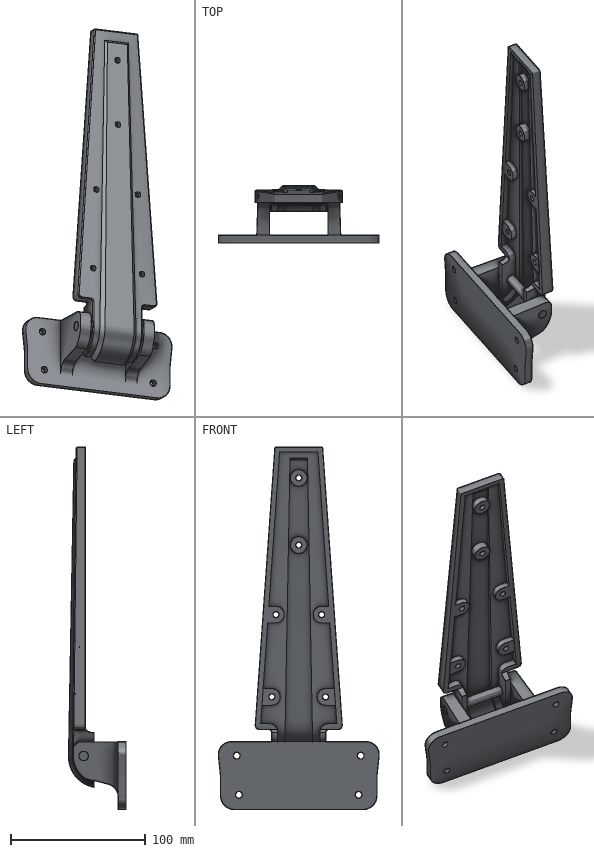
import cadquery as cq
import math


TOTAL_HEIGHT = 270.0
TOTAL_DEPTH = 43.0
SIDE_REACH = 81.0
SELECT_MARGIN = 0.3

PLATE_THICKNESS = 6.0
PLATE_TOP = 50.8
PLATE_TOP_HALF = 61.0
PLATE_BOTTOM_HALF = 58.3
PLATE_KINK_Z = 25.0
PLATE_TOP_RADIUS = 10.0
PLATE_BOTTOM_RADIUS = 10.5
PLATE_HOLE_DIAMETER = 4.9
PLATE_HOLES = [(46.2, 40.2), (44.5, 11.0)]

PIN_Y = 31.5
PIN_Z = 40.0
PIN_RADIUS = 3.5
CURL_Y = 19.5
CURL_Z = 39.7
CURL_END_Y = 23.8

ARM_TOP = 50.5
ARM_INNER_HALF = 21.5
ARM_ROOT_HALF = 31.3
ARM_TIP_HALF = 30.2
ARM_BACK_RADIUS = 20.0
ARM_BACK_CORNER = (31.3, 23.5)
ARM_UNDERSIDE = (13.0, 19.0)
ARM_SWEEP_MIDDLE = (8.0, 15.7)
ARM_FOOT_Z = 9.7
ARM_TOP_RADIUS = 6.0

STRAP_FRONT_Y = 30.2
STRAP_BACK_TOP_Y = 37.3
STRAP_BACK_BOTTOM_Y = 40.0
STRAP_TOP_HALF = 17.8
STRAP_BOTTOM_HALF = 32.7
STRAP_BOTTOM = 59.7
STRAP_TOP_RADIUS = 1.0
STRAP_BOTTOM_RADIUS = 3.2
STRAP_BACK_CHAMFER = 0.8
NECK_HALF = 20.2
NECK_RADIUS = 2.2
CHEEK_TOP = 57.5
CHEEK_SWEEP_MIDDLE = (27.8, 58.0)

FLOOR_THICKNESS = 4.3
POCKET_TOP = 266.2
POCKET_TOP_HALF = 14.3
POCKET_BOTTOM = 64.0
POCKET_BOTTOM_HALF = 28.4
CHEEK_THICKNESS = 4.3
CHEEK_INNER_HALF = NECK_HALF - CHEEK_THICKNESS
POCKET_MOUTH_RADIUS = 5.7

RIB_TOP = 262.7
RIB_END_Z = 260.3
RIB_BACK_TOP_Y = 39.0
RIB_TOP_HALF = 8.0
RIB_BOTTOM_HALF = 12.0
RIB_DEPTH = 4.3
RIB_SKIN = 4.0
CHANNEL_TOP_HALF = 6.5
CHANNEL_BOTTOM_HALF = 10.5
CHANNEL_DEPTH = 8.0

BOSS_RADIUS = 6.2
BOSS_HOLE_DIAMETER = 4.3
CENTRE_BOSS_HEIGHTS = [247.0, 197.0]
SIDE_BOSSES = [(17.0, 145.3, 0.0), (20.0, 84.0, 0.5)]

WASHER_RADIUS = 7.8


def mirrored(points):
    """Complete a half outline (x >= 0, listed top to bottom) with its mirror image."""
    return points + [(-x, z) for x, z in reversed(points)]


def front_prism(points, y_from, y_to):
    """Extrude an X-Z outline from y_from to y_to."""
    sketch = cq.Workplane("XZ", origin=(0, y_from, 0)).polyline(points).close()
    return sketch.extrude(y_from - y_to)


def front_cylinder(x, z, radius, y_from, y_to):
    """Cylinder along Y."""
    return cq.Workplane("XZ", origin=(x, y_from, z)).circle(radius).extrude(y_from - y_to)


def cross_cylinder(radius, x_from, x_to):
    """Cylinder on the hinge axis."""
    return cq.Workplane("YZ", origin=(x_from, PIN_Y, PIN_Z)).circle(radius).extrude(x_to - x_from)


def curl_point(radius, degrees):
    """Point (Y, Z) on the curl, measured from straight back and turning down."""
    angle = math.radians(degrees)
    return (CURL_Y + radius * math.cos(angle), CURL_Z - radius * math.sin(angle))


def at_height(z, half_width):
    """Selector for edges centred near a height, no farther out than half_width."""
    return cq.selectors.BoxSelector(
        (-half_width - SELECT_MARGIN, 0, z - SELECT_MARGIN),
        (half_width + SELECT_MARGIN, TOTAL_DEPTH, z + SELECT_MARGIN))


def side_sketch():
    """Y-Z sketch plane, to be extruded over twice SIDE_REACH."""
    return cq.Workplane("YZ", origin=(-SIDE_REACH, 0, 0))



def make_plate():
    half_outline = [
        (PLATE_TOP_HALF, PLATE_TOP),
        (PLATE_BOTTOM_HALF, PLATE_KINK_Z),
        (PLATE_BOTTOM_HALF, 0),
    ]
    plate = front_prism(mirrored(half_outline), 0, PLATE_THICKNESS)
    plate = plate.edges("|Y").edges(">Z").fillet(PLATE_TOP_RADIUS)
    plate = plate.edges("|Y").edges("<Z").fillet(PLATE_BOTTOM_RADIUS)
    for half_spacing, height in PLATE_HOLES:
        for x in (-half_spacing, half_spacing):
            hole = front_cylinder(x, height, PLATE_HOLE_DIAMETER / 2, 0, PLATE_THICKNESS)
            plate = plate.cut(hole)
    return plate


def make_arm(side):
    """One arm, on the side given by +1 or -1; its outer face tapers to the back."""
    arm_back = CURL_Y + ARM_BACK_RADIUS
    corner_y, corner_z = ARM_BACK_CORNER
    corner_angle = math.degrees(math.atan2(CURL_Z - corner_z, corner_y - CURL_Y))
    profile = (
        side_sketch()
        .moveTo(PLATE_THICKNESS, ARM_TOP)
        .lineTo(arm_back, ARM_TOP)
        .lineTo(arm_back, CURL_Z)
        .threePointArc(curl_point(ARM_BACK_RADIUS, corner_angle / 2), ARM_BACK_CORNER)
        .lineTo(*ARM_UNDERSIDE)
        .threePointArc(ARM_SWEEP_MIDDLE, (PLATE_THICKNESS, ARM_FOOT_Z))
        .close()
        .extrude(2 * SIDE_REACH)
        .edges("|X").edges(">Z").edges(">Y").fillet(ARM_TOP_RADIUS)
    )
    footprint = [
        (side * ARM_INNER_HALF, PLATE_THICKNESS),
        (side * ARM_ROOT_HALF, PLATE_THICKNESS),
        (side * ARM_TIP_HALF, arm_back),
        (side * ARM_INNER_HALF, arm_back),
    ]
    return profile.intersect(cq.Workplane("XY").polyline(footprint).close().extrude(ARM_TOP))


def make_bracket():
    bracket = make_plate()
    for side in (-1, 1):
        bracket = bracket.union(make_arm(side))
    return bracket.cut(cross_cylinder(PIN_RADIUS, -SIDE_REACH, SIDE_REACH))



def make_strap_blank():
    """Tapered slab and neck, curled under at the bottom."""
    neck_back_radius = STRAP_BACK_BOTTOM_Y - CURL_Y
    end_angle = math.degrees(math.acos((CURL_END_Y - CURL_Y) / neck_back_radius))
    profile = (
        side_sketch()
        .moveTo(STRAP_FRONT_Y, TOTAL_HEIGHT)
        .lineTo(STRAP_BACK_TOP_Y, TOTAL_HEIGHT)
        .lineTo(STRAP_BACK_BOTTOM_Y, CURL_Z)
        .threePointArc(
            curl_point(neck_back_radius, end_angle / 2),
            curl_point(neck_back_radius, end_angle),
        )
        .lineTo(CURL_END_Y, CHEEK_TOP)
        .threePointArc(CHEEK_SWEEP_MIDDLE, (STRAP_FRONT_Y, STRAP_BOTTOM))
        .close()
        .extrude(2 * SIDE_REACH)
    )
    half_outline = [
        (STRAP_TOP_HALF, TOTAL_HEIGHT),
        (STRAP_BOTTOM_HALF, STRAP_BOTTOM),
        (NECK_HALF, STRAP_BOTTOM),
        (NECK_HALF, 0),
    ]
    outline = front_prism(mirrored(half_outline), 0, TOTAL_DEPTH)
    outline = outline.edges("|Y").edges(at_height(STRAP_BOTTOM, NECK_HALF)).fillet(NECK_RADIUS)
    outline = outline.edges("|Y").edges(">Z").fillet(STRAP_TOP_RADIUS)
    outline = outline.edges("|Y").edges(">X or <X").fillet(STRAP_BOTTOM_RADIUS)
    blank = profile.intersect(outline)
    back_rim = cq.selectors.BoxSelector(
        (-SIDE_REACH, STRAP_BACK_TOP_Y - SELECT_MARGIN, POCKET_BOTTOM),
        (SIDE_REACH, TOTAL_DEPTH, TOTAL_HEIGHT + SELECT_MARGIN))
    return blank.edges(back_rim).chamfer(STRAP_BACK_CHAMFER)


def make_pocket():
    """Open front of the strap, leaving a rim, two cheeks and a floor of even thickness."""
    inner_radius = STRAP_BACK_BOTTOM_Y - FLOOR_THICKNESS - CURL_Y
    profile = (
        side_sketch()
        .moveTo(0, TOTAL_HEIGHT)
        .lineTo(STRAP_BACK_TOP_Y - FLOOR_THICKNESS, TOTAL_HEIGHT)
        .lineTo(STRAP_BACK_BOTTOM_Y - FLOOR_THICKNESS, CURL_Z)
        .threePointArc(curl_point(inner_radius, 45), curl_point(inner_radius, 90))
        .lineTo(0, CURL_Z - inner_radius)
        .close()
        .extrude(2 * SIDE_REACH)
    )
    half_outline = [
        (POCKET_TOP_HALF, POCKET_TOP),
        (POCKET_BOTTOM_HALF, POCKET_BOTTOM),
        (CHEEK_INNER_HALF, POCKET_BOTTOM),
        (CHEEK_INNER_HALF, 0),
    ]
    outline = front_prism(mirrored(half_outline), 0, TOTAL_DEPTH)
    mouth_corners = outline.edges("|Y").edges(at_height(POCKET_BOTTOM, CHEEK_INNER_HALF))
    outline = mouth_corners.fillet(POCKET_MOUTH_RADIUS)
    return profile.intersect(outline)


def make_ridge(top_half, bottom_half, back_top, back_bottom, depth, flare):
    """Tapered ridge that follows the back of the strap and round the curl.

    Its section is top_half to bottom_half wide at the back and widens by
    flare on each side over its depth; its top end slopes at 45 degrees.
    """
    def section(half, back, z):
        points = [
            (half, back),
            (half + flare, back - depth),
            (-half - flare, back - depth),
            (-half, back),
        ]
        return cq.Workplane("XY", origin=(0, 0, z)).polyline(points).close()

    lower = section(bottom_half, back_bottom, CURL_Z)
    upper = section(top_half, back_top, RIB_TOP)
    straight = cq.Workplane(cq.Solid.makeLoft([lower.val(), upper.val()], True))
    end_rise = RIB_TOP - RIB_END_Z
    end_slope = (
        side_sketch()
        .moveTo(back_top - end_rise, RIB_TOP)
        .lineTo(back_top + end_rise, RIB_END_Z - end_rise)
        .lineTo(back_top + end_rise, RIB_TOP)
        .close()
        .extrude(2 * SIDE_REACH)
    )
    curl = section(bottom_half, back_bottom, CURL_Z).revolve(90, (2.7, CURL_Y, 0), (0, CURL_Y, 0))
    return straight.cut(end_slope).union(curl)


def make_boss(x, z, recess):
    """Round pad; away from the centre line it runs out into the side wall."""
    front = STRAP_FRONT_Y + recess
    boss = front_cylinder(x, z, BOSS_RADIUS, front, STRAP_BACK_BOTTOM_Y)
    if x:
        wall_x = math.copysign(STRAP_BOTTOM_HALF, x)
        web = [
            (x, z - BOSS_RADIUS),
            (wall_x, z - BOSS_RADIUS),
            (wall_x, z + BOSS_RADIUS),
            (x, z + BOSS_RADIUS),
        ]
        boss = boss.union(front_prism(web, front, STRAP_BACK_BOTTOM_Y))
    return boss


def make_strap():
    rib = make_ridge(RIB_TOP_HALF, RIB_BOTTOM_HALF, RIB_BACK_TOP_Y, TOTAL_DEPTH, RIB_DEPTH, RIB_DEPTH)
    curl_room = cq.Workplane("XY").box(2 * SIDE_REACH, CURL_END_Y, CURL_Z, centered=(True, False, False))
    body = make_strap_blank().union(rib.cut(curl_room))
    channel = make_ridge(
        CHANNEL_TOP_HALF, CHANNEL_BOTTOM_HALF,
        RIB_BACK_TOP_Y - RIB_SKIN, TOTAL_DEPTH - RIB_SKIN, CHANNEL_DEPTH, 0)
    strap = body.cut(make_pocket()).cut(channel)

    bosses = [(0, z, 0) for z in CENTRE_BOSS_HEIGHTS]
    for half_spacing, z, recess in SIDE_BOSSES:
        bosses += [(-half_spacing, z, recess), (half_spacing, z, recess)]
    for x, z, recess in bosses:
        strap = strap.union(make_boss(x, z, recess).intersect(body))
        strap = strap.cut(front_cylinder(x, z, BOSS_HOLE_DIAMETER / 2, 0, TOTAL_DEPTH))
    return strap.cut(cross_cylinder(PIN_RADIUS, -SIDE_REACH, SIDE_REACH))



def make_pin():
    return cross_cylinder(PIN_RADIUS, -ARM_TIP_HALF, ARM_TIP_HALF)


def make_washer(side):
    """Ring that fills the gap between a cheek and an arm."""
    x_from, x_to = side * NECK_HALF, side * ARM_INNER_HALF
    return cross_cylinder(WASHER_RADIUS, x_from, x_to).cut(cross_cylinder(PIN_RADIUS, x_from, x_to))


bracket = make_bracket()
strap = make_strap()
pin = make_pin()
washers = [make_washer(side) for side in (-1, 1)]

result = cq.Compound.makeCompound([
    bracket.val(),
    strap.val(),
    pin.val(),
    *[washer.val() for washer in washers],
])